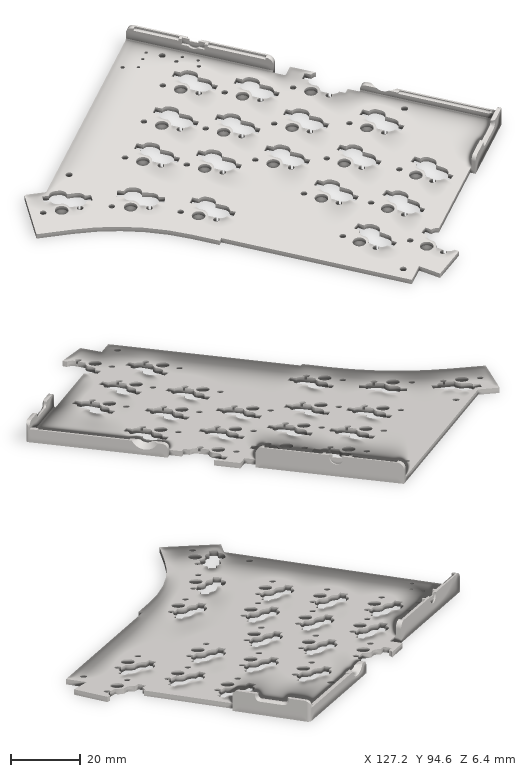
import cadquery as cq
import math


OVERALL_LENGTH = 127.2
PLATE_WIDTH = 112.8
PLATE_DEPTH = 74.9
PLATE_THICKNESS = 1.7
BLIND_DEPTH = 1.3

WING_ANGLE = 30
WING_END_LENGTH = 18.0
WING_BLEND_RADIUS = 67.4
LOWER_EDGE_Y = -1.3
LOWER_EDGE_END_X = 54.6

STUB_LEFT_X = 48.8
STUB_WIDTH = 10.2
STUB_TOP_Y = 79.0

ROW_PITCH = 17.0
PIVOT_DIAMETER = 4.0
PIN_DIAMETER = 1.9
PIN_OFFSET = 5.5
SIDE_KEY = (112.1, 15.6, 1, -10)
KEY_COLUMNS = [
    (22.1, 25.2, 3, 0),
    (40.1, 28.0, 3, 0),
    (58.1, 36.4, 3, 0),
    (76.3, 26.2, 3, -4),
    (93.0, 11.2, 3, -10),
    SIDE_KEY,
    (45.2, 7.4, 1, 0),
    (25.3, 4.7, 1, WING_ANGLE / 2),
    (6.9, -3.0, 1, WING_ANGLE),
]

SIDE_TAB_RIGHT = 9.3
SIDE_TAB_LEFT = -3.8
SIDE_TAB_BOTTOM = -8.9
SIDE_TAB_TOP = 3.2

LOBE_RADIUS = 2.2
LEFT_LOBE_X = (-2.4, 2.9)
LEFT_LOBE_Y = (2.9, 8.8)
RIGHT_LOBE_X = (2.5, 7.9)
RIGHT_LOBE_Y = (0.9, 6.7)
PIVOT_RELIEF_START_X = 0.9
PIVOT_RELIEF_RADIUS = 3.0
CONTACT_SLOT_HEIGHT = 2.5
LEFT_SLOT_END_X = -4.3
RIGHT_SLOT_END_X = 9.7

SIDE_TURN = math.radians(SIDE_KEY[3])
SIDE_SLOT_LOWER_Y = (sum(RIGHT_LOBE_Y) - CONTACT_SLOT_HEIGHT) / 2
RIGHTMOST_X = SIDE_KEY[0] + SIDE_TAB_RIGHT * math.cos(SIDE_TURN) - SIDE_SLOT_LOWER_Y * math.sin(SIDE_TURN)
WING_CORNER_X = RIGHTMOST_X - OVERALL_LENGTH

MOUNT_DIAMETER = 2.0
MOUNT_HOLES = [(12.2, 71.9), (86.2, 71.9), (3.8, 12.7), (108.9, 3.8)]
PEG_DIAMETER = 1.3
PEG_HOLES = [(16.9, 70.7), (23.8, 70.7), (3.0, 63.2)]
LEAD_DIAMETER = 1.0
LEAD_HOLES = [(7.4, 71.6), (7.4, 68.6), (7.4, 64.7), (18.0, 73.1), (22.8, 73.1)]

FOOT_CHAMFER = 0.4
REAR_WALL_THICKNESS = 1.7
REAR_INNER_Y = PLATE_DEPTH + FOOT_CHAMFER
REAR_OUTER_Y = REAR_INNER_Y + REAR_WALL_THICKNESS
SIDE_WALL_THICKNESS = 1.3
SIDE_INNER_X = PLATE_WIDTH + FOOT_CHAMFER
SIDE_OUTER_X = SIDE_INNER_X + SIDE_WALL_THICKNESS
TALL_WALL_TOP = 6.4
LOW_WALL_TOP = 4.1
LEFT_WALL_END_X = 44.9
RIGHT_WALL_START_X = 71.5
SIDE_WALL_START_Y = 52.7
LEFT_WALL_RADIUS = 2.0
WALL_RADIUS = 1.7
OUTER_CORNER_RADIUS = 1.0

LIP_THICKNESS = 0.5
LEFT_REBATE_DEPTH = 0.8
LEFT_REBATE_INSET = 2.3
RIGHT_REBATE_DEPTH = 0.4
RIGHT_REBATE_X = (83.2, 111.0)

FLARE_ANGLE = 45
USB_X = 20.5
USB_BLOCK_WIDTH = 8.9
USB_RECESS_WIDTH = 7.1
USB_RECESS_DEPTH = 2.0
USB_RECESS_INTO_WALL = 0.8
USB_NOTCH_WIDTH = 2.8
USB_NOTCH_DEPTH = 0.8
CABLE_DIAMETER = 4.3
CABLE_AXIS_Z = 5.9
CABLE_POCKET_INTO_WALL = 0.5
JACK_X = 78.4
JACK_AXIS_Z = 6.2
JACK_OUTER_DIAMETER = 9.0
SIDE_NOTCH_Y = 65.0
SIDE_NOTCH_WIDTH = 9.3
SIDE_NOTCH_DEPTH = 1.7
SIDE_NOTCH_RADIUS = 1.0
SIDE_NOTCH_FLARE = 0.6


def box_between(x_range, y_range, z_range):
    size = [high - low for low, high in (x_range, y_range, z_range)]
    corner = (x_range[0], y_range[0], z_range[0])
    return cq.Workplane("XY").box(*size, centered=False).translate(corner)


def place_at_key(shape, x, y, turn):
    return shape.rotate((0, 0, 0), (0, 0, 1), turn).translate((x, y, 0))


def plate_blank():
    slope = math.radians(WING_ANGLE)
    tip_x = WING_CORNER_X + WING_END_LENGTH * math.sin(slope)
    tip_y = -WING_END_LENGTH * math.cos(slope)
    blend_x = tip_x + (LOWER_EDGE_Y - tip_y) / math.tan(slope)
    tangent = WING_BLEND_RADIUS * math.tan(slope / 2)
    arc_start = (blend_x - tangent * math.cos(slope), LOWER_EDGE_Y - tangent * math.sin(slope))
    arc_end = (blend_x + tangent, LOWER_EDGE_Y)
    stub_right_x = STUB_LEFT_X + STUB_WIDTH
    body = (
        cq.Workplane("XY")
        .moveTo(WING_CORNER_X, 0)
        .lineTo(tip_x, tip_y)
        .lineTo(*arc_start)
        .radiusArc(arc_end, WING_BLEND_RADIUS)
        .lineTo(LOWER_EDGE_END_X, LOWER_EDGE_Y)
        .lineTo(LOWER_EDGE_END_X, 0)
        .lineTo(PLATE_WIDTH, 0)
        .lineTo(PLATE_WIDTH, PLATE_DEPTH)
        .lineTo(stub_right_x, PLATE_DEPTH)
        .lineTo(stub_right_x, STUB_TOP_Y)
        .lineTo(STUB_LEFT_X, STUB_TOP_Y)
        .lineTo(STUB_LEFT_X, PLATE_DEPTH)
        .lineTo(0, PLATE_DEPTH)
        .lineTo(0, -WING_CORNER_X * math.tan(slope))
        .close()
        .extrude(PLATE_THICKNESS)
    )
    side_tab = box_between(
        (SIDE_TAB_LEFT, SIDE_TAB_RIGHT), (SIDE_TAB_BOTTOM, SIDE_TAB_TOP), (0, PLATE_THICKNESS)
    )
    x, y, _, turn = SIDE_KEY
    return body.union(place_at_key(side_tab, x, y, turn))


def socket_opening():
    r = LOBE_RADIUS
    left, left_lobe_right = LEFT_LOBE_X
    left_bottom, left_top = LEFT_LOBE_Y
    right_lobe_left, right = RIGHT_LOBE_X
    right_bottom, right_top = RIGHT_LOBE_Y
    opening = (
        cq.Workplane("XY")
        .moveTo(left, left_bottom + r)
        .lineTo(left, left_top - r)
        .radiusArc((left + r, left_top), r)
        .lineTo(left_lobe_right - r, left_top)
        .radiusArc((left_lobe_right, right_top), r)
        .lineTo(right - r, right_top)
        .radiusArc((right, right_top - r), r)
        .lineTo(right, right_bottom + r)
        .radiusArc((right - r, right_bottom), r)
        .lineTo(right_lobe_left, right_bottom)
        .radiusArc((PIVOT_RELIEF_START_X, left_bottom), -PIVOT_RELIEF_RADIUS)
        .lineTo(left + r, left_bottom)
        .radiusArc((left, left_bottom + r), r)
        .close()
        .extrude(PLATE_THICKNESS)
    )
    slots = [
        ((LEFT_SLOT_END_X, left + r), sum(LEFT_LOBE_Y) / 2),
        ((right - r, RIGHT_SLOT_END_X), sum(RIGHT_LOBE_Y) / 2),
    ]
    for x_range, middle_y in slots:
        y_range = (middle_y - CONTACT_SLOT_HEIGHT / 2, middle_y + CONTACT_SLOT_HEIGHT / 2)
        opening = opening.union(box_between(x_range, y_range, (0, PLATE_THICKNESS)))
    return opening


def blind_holes(points, diameter):
    floor = PLATE_THICKNESS - BLIND_DEPTH
    holes = cq.Workplane("XY", origin=(0, 0, floor)).pushPoints(points).circle(diameter / 2)
    return holes.extrude(BLIND_DEPTH)


def key_cutter():
    pivot = blind_holes([(0, 0)], PIVOT_DIAMETER)
    pins = blind_holes([(-PIN_OFFSET, 0), (PIN_OFFSET, 0)], PIN_DIAMETER)
    return socket_opening().union(pivot).union(pins)


def cut_keys(plate):
    cutter = key_cutter()
    for x, y, count, turn in KEY_COLUMNS:
        angle = math.radians(turn)
        for row in range(count):
            key_x = x - row * ROW_PITCH * math.sin(angle)
            key_y = y + row * ROW_PITCH * math.cos(angle)
            plate = plate.cut(place_at_key(cutter, key_x, key_y, turn))
    return plate


def cut_small_holes(plate):
    mounts = cq.Workplane("XY").pushPoints(MOUNT_HOLES).circle(MOUNT_DIAMETER / 2).extrude(PLATE_THICKNESS)
    plate = plate.cut(mounts)
    plate = plate.cut(blind_holes(PEG_HOLES, PEG_DIAMETER))
    return plate.cut(blind_holes(LEAD_HOLES, LEAD_DIAMETER))


def rear_foot(x_start, x_end):
    """Strip that joins a rear wall to the plate, with its sloping foot above the plate top."""
    return (
        cq.Workplane("YZ", origin=(x_start, 0, 0))
        .moveTo(PLATE_DEPTH, 0)
        .lineTo(REAR_INNER_Y, 0)
        .lineTo(REAR_INNER_Y, PLATE_THICKNESS + FOOT_CHAMFER)
        .lineTo(PLATE_DEPTH, PLATE_THICKNESS)
        .close()
        .extrude(x_end - x_start)
    )


def side_foot():
    """Strip that joins the side wall to the plate, with its sloping foot above the plate top."""
    return (
        cq.Workplane("XZ", origin=(0, REAR_OUTER_Y, 0))
        .moveTo(PLATE_WIDTH, 0)
        .lineTo(SIDE_INNER_X, 0)
        .lineTo(SIDE_INNER_X, PLATE_THICKNESS + FOOT_CHAMFER)
        .lineTo(PLATE_WIDTH, PLATE_THICKNESS)
        .close()
        .extrude(REAR_OUTER_Y - SIDE_WALL_START_Y)
    )


def cable_cylinder(y_start, depth):
    """Cylinder for the USB cable, reaching from y_start towards the plate."""
    profile = cq.Workplane("XZ", origin=(USB_X, y_start, CABLE_AXIS_Z)).circle(CABLE_DIAMETER / 2)
    return profile.extrude(depth)


def left_rear_wall():
    y_range = (REAR_INNER_Y, REAR_OUTER_Y)
    wall = box_between((0, LEFT_WALL_END_X), y_range, (0, TALL_WALL_TOP))
    wall = wall.edges("|Y and >Z").fillet(LEFT_WALL_RADIUS)
    rebate = box_between(
        (LEFT_REBATE_INSET, LEFT_WALL_END_X - LEFT_REBATE_INSET),
        (REAR_INNER_Y, REAR_OUTER_Y - LIP_THICKNESS),
        (TALL_WALL_TOP - LEFT_REBATE_DEPTH, TALL_WALL_TOP),
    )
    block_range = (USB_X - USB_BLOCK_WIDTH / 2, USB_X + USB_BLOCK_WIDTH / 2)
    rebate = rebate.cut(box_between(block_range, y_range, (0, TALL_WALL_TOP)))
    recess = box_between(
        (USB_X - USB_RECESS_WIDTH / 2, USB_X + USB_RECESS_WIDTH / 2),
        (REAR_INNER_Y, REAR_INNER_Y + USB_RECESS_INTO_WALL),
        (TALL_WALL_TOP - USB_RECESS_DEPTH, TALL_WALL_TOP),
    )
    notch = box_between(
        (USB_X - USB_NOTCH_WIDTH / 2, USB_X + USB_NOTCH_WIDTH / 2),
        y_range,
        (TALL_WALL_TOP - USB_NOTCH_DEPTH, TALL_WALL_TOP),
    )
    outer_pocket = cable_cylinder(REAR_OUTER_Y, CABLE_POCKET_INTO_WALL)
    inner_pocket = cable_cylinder(REAR_INNER_Y + USB_RECESS_INTO_WALL, USB_RECESS_INTO_WALL)
    for cutter in (rebate, recess, notch, outer_pocket, inner_pocket):
        wall = wall.cut(cutter)
    return wall.union(rear_foot(0, LEFT_WALL_END_X))


def right_rear_wall():
    y_range = (REAR_INNER_Y, REAR_OUTER_Y)
    wall = box_between((RIGHT_WALL_START_X, SIDE_INNER_X), y_range, (0, LOW_WALL_TOP))
    wall = wall.edges("|Y and >Z and <X").fillet(WALL_RADIUS)
    rebate = box_between(
        RIGHT_REBATE_X,
        (REAR_INNER_Y, REAR_OUTER_Y - LIP_THICKNESS),
        (LOW_WALL_TOP - RIGHT_REBATE_DEPTH, LOW_WALL_TOP),
    )
    jack = (
        cq.Workplane("XZ", origin=(JACK_X, REAR_OUTER_Y, JACK_AXIS_Z))
        .circle(JACK_OUTER_DIAMETER / 2)
        .extrude(REAR_WALL_THICKNESS, taper=FLARE_ANGLE)
    )
    return wall.cut(rebate).cut(jack).union(rear_foot(RIGHT_WALL_START_X, SIDE_INNER_X))


def side_notch_cut(growth, depth, taper):
    """Notch cut from the outer face, its outline mirrored about the wall top and grown on every side."""
    return (
        cq.Workplane("YZ", origin=(SIDE_OUTER_X, SIDE_NOTCH_Y, TALL_WALL_TOP))
        .placeSketch(
            cq.Sketch()
            .rect(SIDE_NOTCH_WIDTH + 2 * growth, 2 * (SIDE_NOTCH_DEPTH + growth))
            .vertices()
            .fillet(SIDE_NOTCH_RADIUS + growth)
        )
        .extrude(-depth, taper=taper)
    )


def side_wall():
    x_range = (SIDE_INNER_X, SIDE_OUTER_X)
    y_range = (SIDE_WALL_START_Y, REAR_OUTER_Y)
    blank = box_between(x_range, y_range, (0, TALL_WALL_TOP))
    rounded_ends = blank.edges("|X and >Z").fillet(WALL_RADIUS)
    rounded_corner = blank.edges("|Z and >X and >Y").fillet(OUTER_CORNER_RADIUS)
    wall = rounded_ends.intersect(rounded_corner)
    wall = wall.cut(side_notch_cut(0, SIDE_WALL_THICKNESS, 0))
    wall = wall.cut(side_notch_cut(SIDE_NOTCH_FLARE, SIDE_NOTCH_FLARE, FLARE_ANGLE))
    return wall.union(side_foot())


plate = cut_small_holes(cut_keys(plate_blank()))
result = plate.union(left_rear_wall()).union(right_rear_wall()).union(side_wall())